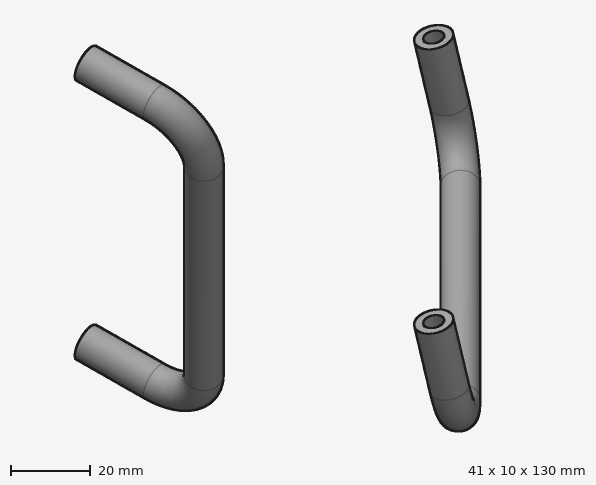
import cadquery as cq

height = 130.0
projection = 41.0
rod_diameter = 10.0

bend_radius = 15.0
hole_diameter = 5.3
hole_depth = 13.0

rod_radius = rod_diameter / 2
leg_z = height / 2 - rod_radius
grip_x = projection - rod_radius
bend_x = grip_x - bend_radius
bend_z = leg_z - bend_radius


def make_rod():
    """Round rod swept along the legs, bends and grip."""
    centreline = (
        cq.Workplane("XZ")
        .moveTo(0, -leg_z)
        .lineTo(bend_x, -leg_z)
        .radiusArc((grip_x, -bend_z), -bend_radius)
        .lineTo(grip_x, bend_z)
        .radiusArc((bend_x, leg_z), -bend_radius)
        .lineTo(0, leg_z)
    )
    return cq.Workplane("YZ").center(0, -leg_z).circle(rod_radius).sweep(centreline)


def make_mounting_holes():
    """Blind holes entering the end face of each leg."""
    return (
        cq.Workplane("YZ")
        .pushPoints([(0, -leg_z), (0, leg_z)])
        .circle(hole_diameter / 2)
        .extrude(hole_depth)
    )


result = make_rod().cut(make_mounting_holes())